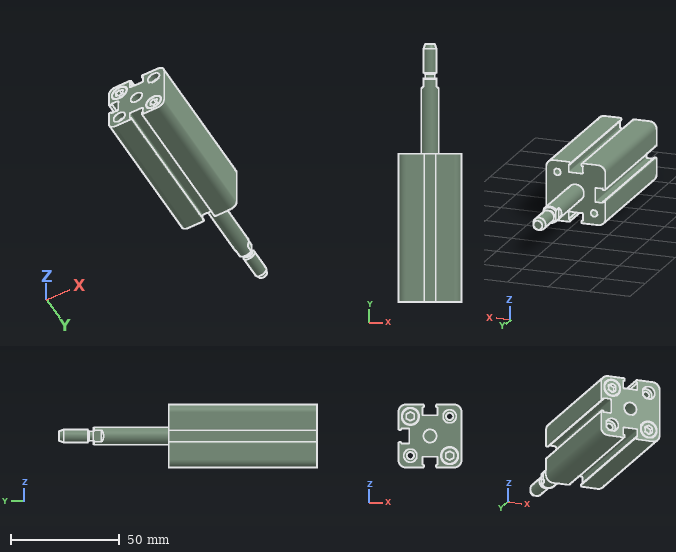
import cadquery as cq

total_length = 118.5
body_width = 29.0
body_length = 68.1
corner_radius = 3.5
half_width = body_width / 2

slot_half_width = 3.4
slot_depth = 5.0
slot_floor_radius = 0.5
lip_radius = 0.7

bolt_offset = 9.0
mount_bore_diameter = 3.2
mount_counterbore_diameter = 6.0
mount_counterbore_depth = 3.4
center_hole_diameter = 6.0
center_hole_depth = 12.2

recess_diameter = 8.0
head_diameter = 7.5
head_gap_depth = 3.5
socket_corner_diameter = 4.1
socket_depth = 2.4

rod_diameter = 8.0
rod_chamfer_width = 0.4
rod_chamfer_length = 0.6
thread_diameter = 6.0
neck_diameter = 4.4
tip_diameter = 4.4
tip_taper_length = 2.1
thread_end_distance = 13.3
thread_runout_length = 0.6
shoulder_distance = 15.8
flat_spacing = 6.0
flat_length = 3.8

front_plane = cq.Workplane("XZ")


def slot_cut(angle):
    """Slot with a rounded lip on each side of its mouth; angle 0 is the top face."""
    slot = (
        front_plane.center(0, half_width - slot_depth / 2)
        .rect(2 * slot_half_width, slot_depth)
        .extrude(-body_length)
        .edges("|Y and <Z")
        .fillet(slot_floor_radius)
    )
    for side in (-1, 1):
        lip = (
            front_plane.center(side * slot_half_width, half_width - lip_radius)
            .circle(lip_radius)
            .extrude(-body_length)
        )
        slot = slot.cut(lip)
    return slot.rotate((0, 0, 0), (0, 1, 0), angle)


def make_body():
    """Rounded square bar with slots in the top, bottom and -X faces."""
    body = (
        front_plane.rect(body_width, body_width)
        .extrude(-body_length)
        .edges("|Y")
        .fillet(corner_radius)
    )
    for angle in (0, 180, -90):
        body = body.cut(slot_cut(angle))
    return body


def cylinder_cut(x, z, diameter, depth):
    """Cylinder reaching from the front face into the body."""
    return front_plane.center(x, z).circle(diameter / 2).extrude(-depth)


def mount_hole(x, z):
    """Counterbored hole through the whole body."""
    bore = cylinder_cut(x, z, mount_bore_diameter, body_length)
    return bore.union(cylinder_cut(x, z, mount_counterbore_diameter, mount_counterbore_depth))


def screw_cut(x, z):
    """Ring gap around a screw head, and the hexagon socket in the head."""
    head = cylinder_cut(x, z, head_diameter, head_gap_depth)
    gap = cylinder_cut(x, z, recess_diameter, head_gap_depth).cut(head)
    socket = (
        front_plane.center(x, z)
        .transformed(rotate=(0, 0, 90))
        .polygon(6, socket_corner_diameter)
        .extrude(-socket_depth)
    )
    return gap.union(socket)


def make_rod():
    """Turned rod with a threaded end, a neck and two wrench flats."""
    shoulder_y = total_length - shoulder_distance
    thread_end_y = total_length - thread_end_distance
    rod_radius = rod_diameter / 2
    profile = [
        (0, body_length),
        (rod_radius, body_length),
        (rod_radius, shoulder_y - rod_chamfer_length),
        (rod_radius - rod_chamfer_width, shoulder_y),
        (neck_diameter / 2, shoulder_y),
        (neck_diameter / 2, thread_end_y - thread_runout_length),
        (thread_diameter / 2, thread_end_y),
        (thread_diameter / 2, total_length - tip_taper_length),
        (tip_diameter / 2, total_length),
        (0, total_length),
    ]
    rod = cq.Workplane("XY").polyline(profile).close().revolve(360, (0, 0), (0, 1))

    inner_x = flat_spacing / 2
    outer_x = rod_diameter
    flat_end_y = shoulder_y - flat_length
    flat_outline = [
        (inner_x, shoulder_y),
        (inner_x, flat_end_y),
        (outer_x, flat_end_y - (outer_x - inner_x)),
        (outer_x, shoulder_y),
    ]
    flat = cq.Workplane("XY").polyline(flat_outline).close().extrude(rod_diameter, both=True)
    return rod.cut(flat).cut(flat.mirror("YZ"))


result = make_body()
for place in (-bolt_offset, bolt_offset):
    result = result.cut(mount_hole(place, place))
    result = result.cut(screw_cut(place, -place))
result = result.cut(cylinder_cut(0, 0, center_hole_diameter, center_hole_depth))
result = result.union(make_rod())